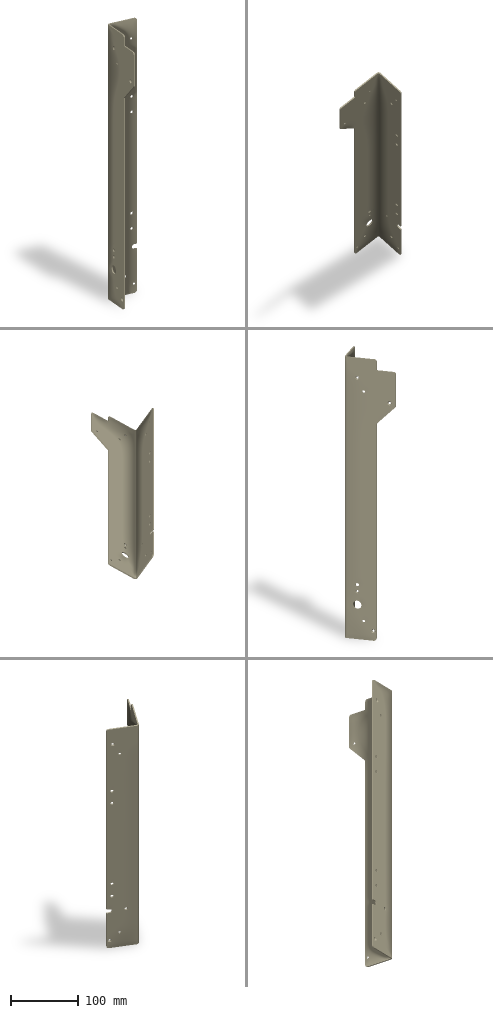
import cadquery as cq

height = 446.0
flange_width = 50.0
tab_reach = 80.0
thickness = 2.0
bend_radius = 4.0

tab_top = height - 17.0
tab_side_bottom = 374.0
tab_root = tab_side_bottom - (tab_reach - flange_width)

top_corner_radius = 3.5
bottom_corner_radius = 4.0

locating_diameter = 4.5
front_fixing_diameter = 5.5
side_fixing_diameter = 5.0
cable_diameter = 13.0
screw_diameter = 3.4
screw_head_diameter = 6.2
small_head_diameter = 5.5

row_offset = 20.0
locating_offset = 30.0
edge_screw_offset = 45.0
locating_low = 29.5
locating_high = 393.5
edge_screw_height = 15.0
top_screw_height = 414.5
lower_screw_height = 75.5

front_fixing_height = 86.0
cable_height = 54.5
front_top_screw_offset = 20.0
tab_screw = (70.0, 379.0)

side_fixing_offset = 41.5
side_fixing_heights = (105.3, 130.2, 295.0, 320.0)
side_top_screw_offset = 40.0

slot_width = 7.5
slot_depth = 8.5


def front_hole(diameter, offset, level):
    """Cylinder through the front flange, along Y."""
    start = cq.Vector(offset, 0, level)
    return cq.Workplane(cq.Solid.makeCylinder(diameter / 2, thickness, start, cq.Vector(0, 1, 0)))


def side_hole(diameter, offset, level):
    """Cylinder through the side flange, along X."""
    start = cq.Vector(0, offset, level)
    return cq.Workplane(cq.Solid.makeCylinder(diameter / 2, thickness, start, cq.Vector(1, 0, 0)))


def countersink(head_diameter, offset, level, direction):
    """Cone through one flange, wide at its outer face."""
    start = cq.Vector(offset, 0, level) if direction.y else cq.Vector(0, offset, level)
    cone = cq.Solid.makeCone(head_diameter / 2, screw_diameter / 2, thickness, start, direction)
    return cq.Workplane(cone)


def make_angle():
    """L section with a rounded bend, full height, wide enough for the tab."""
    section = (
        cq.Workplane("XY")
        .moveTo(0, flange_width)
        .lineTo(0, bend_radius)
        .radiusArc((bend_radius, 0), -bend_radius)
        .lineTo(tab_reach, 0)
        .lineTo(tab_reach, thickness)
        .lineTo(bend_radius, thickness)
        .radiusArc((thickness, bend_radius), bend_radius - thickness)
        .lineTo(thickness, flange_width)
        .close()
    )
    return section.extrude(height)


def make_front_outline():
    """Solid whose XZ outline is that of the front flange with its tab."""
    outline = (
        cq.Workplane("XZ")
        .polyline([
            (0, 0),
            (flange_width, 0),
            (flange_width, tab_root),
            (tab_reach, tab_side_bottom),
            (tab_reach, tab_top),
            (flange_width, tab_top),
            (flange_width, height),
            (0, height),
        ])
        .close()
        .extrude(-flange_width)
    )

    def round_corner(body, x, z, radius):
        corner = cq.selectors.NearestToPointSelector((x, flange_width / 2, z))
        return body.edges("|Y").edges(corner).fillet(radius)

    outline = round_corner(outline, flange_width, 0, bottom_corner_radius)
    outline = round_corner(outline, tab_reach, tab_top, top_corner_radius)
    return round_corner(outline, flange_width, height, top_corner_radius)


def make_side_outline():
    """Solid whose YZ outline is that of the side flange."""
    outline = cq.Workplane("XY").box(tab_reach, flange_width, height, centered=False)
    outline = outline.edges("|X and >Y and <Z").fillet(bottom_corner_radius)
    return outline.edges("|X and >Y and >Z").fillet(top_corner_radius)


def make_edge_slot():
    """Round-ended slot cutter, open at the free edge of the side flange."""
    end_center = flange_width - slot_depth + slot_width / 2
    straight = cq.Workplane("XY").box(
        thickness, flange_width - end_center, slot_width, centered=(False, False, True)
    )
    straight = straight.translate((0, end_center, lower_screw_height))
    return straight.union(side_hole(slot_width, end_center, lower_screw_height))


result = make_angle().intersect(make_front_outline()).intersect(make_side_outline())

for level in (locating_low, locating_high):
    result = result.cut(front_hole(locating_diameter, locating_offset, level))
    result = result.cut(side_hole(locating_diameter, locating_offset, level))

result = result.cut(front_hole(front_fixing_diameter, row_offset, front_fixing_height))
result = result.cut(front_hole(cable_diameter, row_offset, cable_height))

for level in side_fixing_heights:
    result = result.cut(side_hole(side_fixing_diameter, side_fixing_offset, level))

front_screws = [
    (screw_head_diameter, front_top_screw_offset, top_screw_height),
    (screw_head_diameter, *tab_screw),
    (screw_head_diameter, edge_screw_offset, edge_screw_height),
    (small_head_diameter, row_offset, lower_screw_height),
]
for head, offset, level in front_screws:
    result = result.cut(countersink(head, offset, level, cq.Vector(0, 1, 0)))

side_screws = [
    (screw_head_diameter, side_top_screw_offset, top_screw_height),
    (screw_head_diameter, edge_screw_offset, edge_screw_height),
    (small_head_diameter, row_offset, lower_screw_height),
]
for head, offset, level in side_screws:
    result = result.cut(countersink(head, offset, level, cq.Vector(1, 0, 0)))

result = result.cut(make_edge_slot())